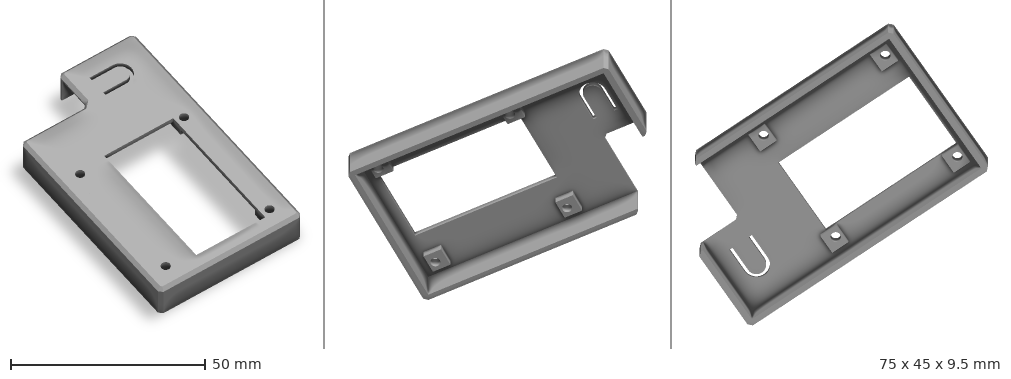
import cadquery as cq

length = 75.0
width = 45.0
height = 9.5
chamfer = 1.0
side_wall = 1.7
end_wall = 1.5
plate_thickness = 1.5

notch_x = -24.45
notch_y = -1.35

window_left = -7.9
window_right = 33.0
window_front = -7.9
window_back = 13.95

hole_diameter = 2.6
hole_center_x = 12.45
hole_spacing_x = 37.95
hole_spacing_y = 32.85
standoff_size_x = 5.0
standoff_size_y = 5.4
standoff_shift_x = -0.6
standoff_shift_y = 0.26
standoff_height = 2.0

tab_x = -27.9
tab_arc_y = 11.5
tab_root_y = 4.3
tab_outer_radius = 3.5
slot_width = 1.0

plate_underside = height - plate_thickness
hole_points = [
    (hole_center_x + i * hole_spacing_x / 2, j * hole_spacing_y / 2)
    for i in (-1, 1)
    for j in (-1, 1)
]


def block(x_min, x_max, y_min, y_max, z_min, z_max):
    """Axis-aligned box between the given limits."""
    size = (x_max - x_min, y_max - y_min, z_max - z_min)
    return cq.Workplane("XY").box(*size, centered=False).translate((x_min, y_min, z_min))


def outer_body():
    """Solid L-shaped body with its vertical and top edges chamfered."""
    outline = [
        (-length / 2, width / 2),
        (length / 2, width / 2),
        (length / 2, -width / 2),
        (notch_x, -width / 2),
        (notch_x, notch_y),
        (-length / 2, notch_y),
    ]
    body = cq.Workplane("XY").polyline(outline).close().extrude(height)
    for x, y in outline:
        if (x, y) != (notch_x, notch_y):
            corner = cq.selectors.NearestToPointSelector((x, y, height / 2))
            body = body.edges(corner).chamfer(chamfer)
    body = body.faces(">Z").edges().chamfer(chamfer)
    return body.union(notch_corner_fill())


def notch_triangle(inset, leg, z):
    """Right triangle with its square corner moved diagonally inward from the notch corner."""
    x = notch_x + inset
    y = notch_y + inset
    return cq.Workplane("XY", origin=(0, 0, z)).polyline([(x, y), (x - leg, y), (x, y - leg)]).close()


def notch_corner_fill():
    """Web across the inner notch corner, sloped where it meets the top chamfer."""
    shoulder = height - chamfer
    upright = notch_triangle(0, chamfer, 0).extrude(shoulder)
    lower_edge = notch_triangle(0, chamfer, shoulder).wire().val()
    upper_edge = notch_triangle(chamfer, 2 * chamfer, height).wire().val()
    return upright.union(cq.Workplane(cq.Solid.makeLoft([lower_edge, upper_edge], True)))


def cavity():
    """Rectangular hollow that runs out through the sides of the notch."""
    inner_x = length / 2 - side_wall
    inner_y = width / 2 - end_wall
    return block(-inner_x, inner_x, -inner_y, inner_y, 0, plate_underside)


def standoffs():
    """Rectangular pads under the plate, slightly off-centre from their screw holes."""
    base_z = plate_underside - standoff_height
    pads = cq.Workplane("XY", origin=(standoff_shift_x, standoff_shift_y, base_z))
    return pads.pushPoints(hole_points).rect(standoff_size_x, standoff_size_y).extrude(standoff_height)


def window():
    """Display opening through the plate."""
    return block(window_left, window_right, window_front, window_back, 0, height)


def screw_holes():
    return cq.Workplane("XY").pushPoints(hole_points).circle(hole_diameter / 2).extrude(height)


def arch(radius):
    """Round-topped prism from the tab root to the tab tip."""
    outline = (
        cq.Workplane("XY")
        .moveTo(tab_x - radius, tab_root_y)
        .lineTo(tab_x - radius, tab_arc_y)
        .threePointArc((tab_x, tab_arc_y + radius), (tab_x + radius, tab_arc_y))
        .lineTo(tab_x + radius, tab_root_y)
        .close()
    )
    return outline.extrude(height)


def tab_slot():
    return arch(tab_outer_radius).cut(arch(tab_outer_radius - slot_width))


shell = outer_body().cut(cavity()).union(standoffs())
result = shell.cut(window()).cut(screw_holes()).cut(tab_slot())